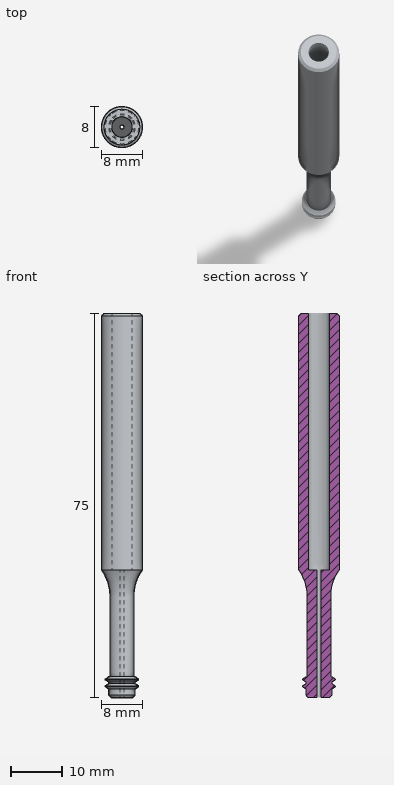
import cadquery as cq
import math

length = 75.0
body_radius = 8.0 / 2
top_chamfer = 0.5
body_bottom = 25.0

neck_radius = 4.7 / 2
neck_top = 20.0

tip_radius = 5.2 / 2
tip_chamfer = 0.5
ring_radius = 6.5 / 2
ring_half_height = 0.5
ring_edge_half_height = 0.1
ring_levels = (3.6, 2.25)
neck_bottom = ring_levels[0] + ring_half_height

bore_diameter = 4.0
bore_depth = length - body_bottom
pilot_diameter = 0.75


def make_shank():
    """Revolve the chamfered body, flared shoulder, neck and chamfered tip."""
    flare_width = body_radius - neck_radius
    flare_height = body_bottom - neck_top
    flare_radius = (flare_width**2 + flare_height**2) / (2 * flare_width)
    mid_rise = flare_height / 2
    mid_offset = flare_radius - math.sqrt(flare_radius**2 - mid_rise**2)
    flare_middle = (neck_radius + mid_offset, neck_top + mid_rise)

    profile = (
        cq.Workplane("XZ")
        .lineTo(tip_radius - tip_chamfer, 0)
        .lineTo(tip_radius, tip_chamfer)
        .lineTo(tip_radius, neck_bottom)
        .lineTo(neck_radius, neck_bottom)
        .lineTo(neck_radius, neck_top)
        .threePointArc(flare_middle, (body_radius, body_bottom))
        .lineTo(body_radius, length - top_chamfer)
        .lineTo(body_radius - top_chamfer, length)
        .lineTo(0, length)
        .close()
    )
    return profile.revolve(360, (0, 0), (0, 1))


def make_ring(level):
    """Make a disc with sloping flanks and a narrow flat edge."""
    profile = (
        cq.Workplane("XZ")
        .moveTo(0, level - ring_half_height)
        .lineTo(tip_radius, level - ring_half_height)
        .lineTo(ring_radius, level - ring_edge_half_height)
        .lineTo(ring_radius, level + ring_edge_half_height)
        .lineTo(tip_radius, level + ring_half_height)
        .lineTo(0, level + ring_half_height)
        .close()
    )
    return profile.revolve(360, (0, 0), (0, 1))


def make_hole():
    """Make the wide upper bore and the fine passage through the tip."""
    bore = cq.Workplane("XY", origin=(0, 0, length)).circle(bore_diameter / 2).extrude(-bore_depth)
    pilot = cq.Workplane("XY").circle(pilot_diameter / 2).extrude(length)
    return bore.union(pilot)


result = make_shank()
for ring_level in ring_levels:
    result = result.union(make_ring(ring_level))
result = result.cut(make_hole())